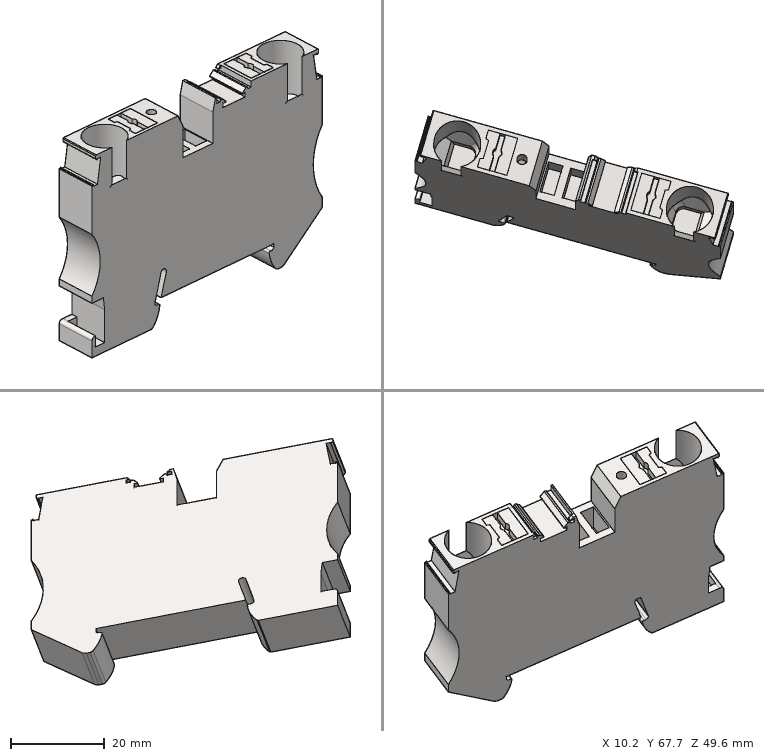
import cadquery as cq
import math

WIDTH = 10.15
LENGTH = 67.7
HEIGHT = 49.55
MID_X = WIDTH / 2
END_Y = LENGTH / 2

LIP_Y = 32.8
LIP_CHAMFER = 0.2
LABEL_TOP_Y = 31.3
LABEL_TOP_Z = 48.5
LABEL_FLOOR_Y = 32.2
LABEL_FLOOR_Z = 42.2
RIM_Z = 42.4
SCOOP_TOP_Z = 30.45

GAP_LEFT_Y = 1.7
GAP_RIGHT_Y = -7.05
GAP_FLOOR_Z = 38.65
GAP_SLOPE_Z = 46.4

CHANNEL_LEFT_Y = 12.85
CHANNEL_RIGHT_Y = 2.85
CHANNEL_STEP_Z = 48.1
CHANNEL_FLOOR_LEFT_Y = 11.2
CHANNEL_FLOOR_RIGHT_Y = 4.7
CHANNEL_FLOOR_Z = 46.3
BARB_TIP_Z = 47.3
BARB_TIP_HEIGHT = 0.2
BARB_TOP_Z = 48.55
HOOK_WIDTH = 0.9
HOOK_TIP_Z = 48.9

RAIL_SEAT_Z = 6.7
RAIL_GRIP_Z = 5.35

RELEASE_BACK_Y = -30.1
RELEASE_LIP_Y = -32.8
RELEASE_LEDGE_Z = 5.0
RELEASE_WALL = 1.6
RELEASE_POCKET_DEPTH = 2.7

PLATE_OUTER_Y = 20.25
PLATE_INNER_Y = 13.75
PLATE_LENGTH = 8.4
PLATE_DEPTH = 0.1
PLATE_NOTCH = 0.7
PLATE_NOTCH_LENGTH = 4.05
PLATE_NOTCH_FLARE = 0.3
SLOT_Y = 17.05
SLOT_WIDTH = 1.15
SLOT_DEPTH = 2.0
SLOT_HOLE_DIAMETER = 1.95

BORE_X = 5.6
BORE_Y = 25.8
BORE_RADIUS = 5.0
FUNNEL_FLOOR_Z = 35.2
FUNNEL_X_MIN = 2.4
FUNNEL_X_MAX = 8.0
FUNNEL_INNER_Y = 22.2
FUNNEL_OUTER_Y = 28.0
FUNNEL_SIDE_SLOPE = 23.0
FUNNEL_INNER_SLOPE = 30.0
FUNNEL_OUTER_SLOPE = 60.0
FUNNEL_CORNER_RADIUS = 1.7
POCKET_DEPTH = 2.25
POCKET_OUTER_Y = 27.35

SOCKET_LENGTH = 6.7
SOCKET_WIDTH = 3.2
SOCKET_CENTRES_Y = (-0.15, -5.1)
SOCKET_DEPTH = 6.8

TEST_HOLE_Y = -11.6
TEST_HOLE_DIAMETER = 2.2
TEST_HOLE_DEPTH = 5.4
TEST_HOLE_FLOOR_SLOPE = 30.0


def label_recess(side):
    """Points from the top lip down to the rim of one end; side is +1 or -1 in Y."""
    points = [
        (LIP_Y - LIP_CHAMFER, HEIGHT),
        (LIP_Y, HEIGHT - LIP_CHAMFER),
        (LIP_Y, 48.7),
        (32.35, 48.3),
        (32.2, LABEL_TOP_Z),
        (LABEL_TOP_Y, LABEL_TOP_Z),
        (LABEL_FLOOR_Y, LABEL_FLOOR_Z),
        (33.4, LABEL_FLOOR_Z),
        (33.45, 42.6),
        (33.6, RIM_Z),
        (END_Y, RIM_Z),
    ]
    return [(side * y, z) for y, z in points]


def body():
    """Side outline in Y and Z, extruded across the width."""
    outline = cq.Workplane("YZ").moveTo(CHANNEL_LEFT_Y, HEIGHT)

    for point in label_recess(1):
        outline = outline.lineTo(*point)
    outline = (
        outline.lineTo(END_Y, SCOOP_TOP_Z)
        .threePointArc((31.2, 21.5), (END_Y, 12.5))
        .lineTo(END_Y, 10.0)
        .lineTo(22.6, 0.35)
        .threePointArc((22.15, 0.15), (21.65, 0))
        .lineTo(20.85, 0)
        .threePointArc((20.45, 0.15), (20.2, 0.35))
        .threePointArc((18.9, 2.5), (18.2, 4.9))
        .threePointArc((18.3, 5.2), (18.6, RAIL_GRIP_Z))
        .threePointArc((19.3, 5.5), (19.55, 5.9))
    )

    outline = (
        outline.lineTo(19.55, RAIL_SEAT_Z)
        .lineTo(-13.55, RAIL_SEAT_Z)
        .lineTo(-12.0, 12.45)
        .threePointArc((-12.65, 13.5), (-13.6, 12.7))
        .lineTo(-15.2, 6.35)
        .threePointArc((-15.2, 5.7), (-14.75, RAIL_GRIP_Z))
        .lineTo(-14.2, RAIL_GRIP_Z)
        .threePointArc((-13.95, 5.2), (-13.9, 4.9))
        .threePointArc((-14.55, 2.45), (-16.05, 0.15))
        .lineTo(-16.3, 0)
    )

    outline = (
        outline.lineTo(-END_Y, 0)
        .lineTo(-END_Y, 4.2)
        .threePointArc((-33.6, 4.75), (RELEASE_LIP_Y, RELEASE_LEDGE_Z))
        .lineTo(RELEASE_BACK_Y, RELEASE_LEDGE_Z)
        .lineTo(RELEASE_BACK_Y, 10.4)
        .lineTo(-30.45, 13.5)
        .lineTo(-END_Y, 13.5)
        .lineTo(-END_Y, 15.2)
        .threePointArc((-31.4, 22.8), (-END_Y, SCOOP_TOP_Z))
    )
    for point in reversed(label_recess(-1)):
        outline = outline.lineTo(*point)

    channel = [
        (-8.5, HEIGHT),
        (GAP_RIGHT_Y, GAP_SLOPE_Z),
        (GAP_RIGHT_Y, GAP_FLOOR_Z),
        (GAP_LEFT_Y, GAP_FLOOR_Z),
        (GAP_LEFT_Y, GAP_SLOPE_Z),
        (2.45, HEIGHT),
        (CHANNEL_RIGHT_Y, HEIGHT),
        (CHANNEL_RIGHT_Y, CHANNEL_STEP_Z),
        (3.8, CHANNEL_STEP_Z),
        (4.05, BARB_TOP_Z),
        (4.5, BARB_TOP_Z),
        (5.5, BARB_TIP_Z + BARB_TIP_HEIGHT),
        (5.5, BARB_TIP_Z),
        (CHANNEL_FLOOR_RIGHT_Y, BARB_TIP_Z),
        (CHANNEL_FLOOR_RIGHT_Y, CHANNEL_FLOOR_Z),
        (CHANNEL_FLOOR_LEFT_Y, CHANNEL_FLOOR_Z),
        (CHANNEL_FLOOR_LEFT_Y, BARB_TIP_Z),
        (10.35, BARB_TIP_Z),
        (10.35, BARB_TIP_Z + BARB_TIP_HEIGHT),
        (11.4, BARB_TOP_Z),
        (11.8, BARB_TOP_Z),
        (12.0, CHANNEL_STEP_Z),
        (CHANNEL_LEFT_Y, CHANNEL_STEP_Z),
    ]
    for point in channel:
        outline = outline.lineTo(*point)
    return outline.close().extrude(WIDTH)


def marker_hooks():
    """Two small hooks over the marker channel, only along the -X side."""
    left = [
        (CHANNEL_LEFT_Y, HEIGHT),
        (12.65, HEIGHT),
        (12.1, HOOK_TIP_Z),
        (CHANNEL_LEFT_Y, HOOK_TIP_Z),
    ]
    right = [
        (CHANNEL_RIGHT_Y, HEIGHT),
        (3.2, HEIGHT),
        (3.85, HOOK_TIP_Z),
        (CHANNEL_RIGHT_Y, HOOK_TIP_Z),
    ]
    hooks = cq.Workplane("YZ").polyline(left).close().extrude(HOOK_WIDTH)
    return hooks.union(cq.Workplane("YZ").polyline(right).close().extrude(HOOK_WIDTH))


def screw_plate():
    """Shallow recess of the +Y screw plate with its driver slot and centre hole."""
    notch_half = PLATE_NOTCH_LENGTH / 2
    flare_half = notch_half + PLATE_NOTCH_FLARE
    x_min = MID_X - PLATE_LENGTH / 2
    x_max = MID_X + PLATE_LENGTH / 2
    outline = [
        (x_min, PLATE_INNER_Y),
        (x_max, PLATE_INNER_Y),
        (x_max, PLATE_OUTER_Y),
        (MID_X + flare_half, PLATE_OUTER_Y),
        (MID_X + notch_half, PLATE_OUTER_Y - PLATE_NOTCH),
        (MID_X - notch_half, PLATE_OUTER_Y - PLATE_NOTCH),
        (MID_X - flare_half, PLATE_OUTER_Y),
        (x_min, PLATE_OUTER_Y),
    ]
    top = cq.Workplane("XY", origin=(0, 0, HEIGHT))
    plate = top.polyline(outline).close().extrude(-PLATE_DEPTH)
    slot = top.center(MID_X, SLOT_Y).rect(PLATE_LENGTH, SLOT_WIDTH).extrude(-SLOT_DEPTH)
    hole = top.center(MID_X, SLOT_Y).circle(SLOT_HOLE_DIAMETER / 2).extrude(-SLOT_DEPTH)
    return plate.union(slot).union(hole)


def funnel_section(z, side_spread=0, inner_spread=0):
    """Closed outline at height z: a rectangle with its two inner corners rounded.

    The spreads set the two sides and the inner wall back from their place at the funnel floor.
    """
    radius = FUNNEL_CORNER_RADIUS
    x_min = FUNNEL_X_MIN - side_spread
    x_max = FUNNEL_X_MAX + side_spread
    y_inner = FUNNEL_INNER_Y - inner_spread
    y_outer = BORE_Y + BORE_RADIUS
    return (
        cq.Workplane("XY", origin=(0, 0, z))
        .moveTo(x_min, y_outer)
        .lineTo(x_min, y_inner + radius)
        .radiusArc((x_min + radius, y_inner), -radius)
        .lineTo(x_max - radius, y_inner)
        .radiusArc((x_max, y_inner + radius), -radius)
        .lineTo(x_max, y_outer)
        .close()
    )


def outer_wall_limit(y_bottom, y_top, z_bottom, z_top):
    """Block whose +Y face is a leaning outer wall of the funnel."""
    side = [(0, z_bottom), (y_bottom, z_bottom), (y_top, z_top), (0, z_top)]
    return cq.Workplane("YZ").polyline(side).close().extrude(2 * WIDTH)


def wire_funnel():
    """Bore, tapered funnel and bottom pocket of the +Y wire entry."""
    depth = HEIGHT - FUNNEL_FLOOR_Z
    bore = cq.Workplane("XY", origin=(BORE_X, BORE_Y, FUNNEL_FLOOR_Z)).circle(BORE_RADIUS).extrude(depth)
    side_spread = depth * math.tan(math.radians(FUNNEL_SIDE_SLOPE))
    inner_spread = depth * math.tan(math.radians(FUNNEL_INNER_SLOPE))
    floor_wire = funnel_section(FUNNEL_FLOOR_Z).val()
    top_wire = funnel_section(HEIGHT, side_spread, inner_spread).val()
    taper = cq.Workplane(cq.Solid.makeLoft([floor_wire, top_wire], True))
    outer_spread = depth * math.tan(math.radians(FUNNEL_OUTER_SLOPE))
    taper_limit = outer_wall_limit(FUNNEL_OUTER_Y, FUNNEL_OUTER_Y + outer_spread, FUNNEL_FLOOR_Z, HEIGHT)

    pocket_floor_z = FUNNEL_FLOOR_Z - POCKET_DEPTH
    pocket = funnel_section(pocket_floor_z).extrude(POCKET_DEPTH)
    pocket_limit = outer_wall_limit(POCKET_OUTER_Y, FUNNEL_OUTER_Y, pocket_floor_z, FUNNEL_FLOOR_Z)
    return bore.intersect(taper).intersect(taper_limit).union(pocket.intersect(pocket_limit))


def release_pocket():
    """Pocket behind the rounded lip of the release notch, open to the +X side."""
    return cq.Workplane("XY").box(
        WIDTH - RELEASE_WALL,
        RELEASE_BACK_Y - RELEASE_LIP_Y,
        RELEASE_POCKET_DEPTH,
        centered=False,
    ).translate((RELEASE_WALL, RELEASE_LIP_Y, RELEASE_LEDGE_Z - RELEASE_POCKET_DEPTH))


def bridge_sockets():
    """Two rectangular sockets in the floor of the gap."""
    return (
        cq.Workplane("XY", origin=(MID_X, 0, GAP_FLOOR_Z))
        .pushPoints([(0, y) for y in SOCKET_CENTRES_Y])
        .rect(SOCKET_LENGTH, SOCKET_WIDTH)
        .extrude(-SOCKET_DEPTH)
    )


def test_hole():
    """Round hole whose floor slopes, deeper towards +Y."""
    radius = TEST_HOLE_DIAMETER / 2
    rise = radius * math.tan(math.radians(TEST_HOLE_FLOOR_SLOPE))
    floor_z = HEIGHT - TEST_HOLE_DEPTH
    side = [
        (TEST_HOLE_Y + radius, floor_z - rise),
        (TEST_HOLE_Y + radius, HEIGHT),
        (TEST_HOLE_Y - radius, HEIGHT),
        (TEST_HOLE_Y - radius, floor_z + rise),
    ]
    limit = cq.Workplane("YZ").polyline(side).close().extrude(WIDTH)
    hole = cq.Workplane("XY", origin=(MID_X, TEST_HOLE_Y, 0)).circle(radius).extrude(HEIGHT)
    return hole.intersect(limit)


result = body().union(marker_hooks())
for entry in (screw_plate(), wire_funnel()):
    result = result.cut(entry).cut(entry.mirror("XZ"))
result = result.cut(bridge_sockets()).cut(test_hole()).cut(release_pocket())